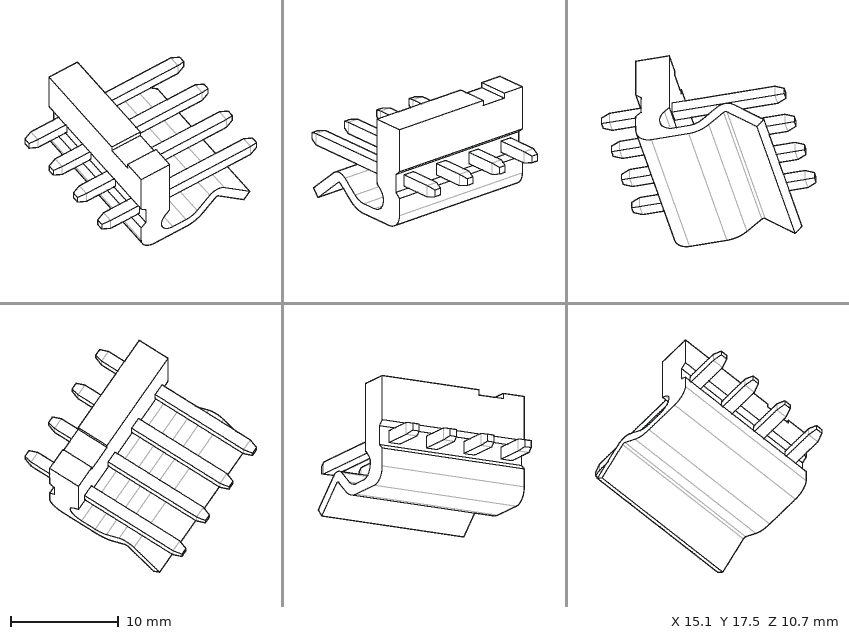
import cadquery as cq
import math

width = 15.08
wall_depth = 3.21
wall_top = 10.2
wall_back_bottom = 3.68
front_corner_radius = 1.5

groove_depth = 0.52
groove_height = 1.81
groove_mouth = 2.72

relief_radius = 1.27
relief_y = 3.56
relief_angle = math.radians(40)

arm_thickness = 1.01
arm_angle = math.radians(41)
floor_end_y = 5.06
floor_bend_radius = 1.9
crown_y = 8.55
crown_radius = 1.25
arm_end_y = 12.23

pin_count = 4
pin_pitch = 3.96
pin_size = 1.15
pin_tip_size = 0.68
pin_tip_length = 0.84
pin_length = 17.45
pin_front_y = -3.58
pin_z = 4.59

notch_start = 10.28
notch_width = 2.57
notch_depth = 0.5


def on_circle(center, radius, angle):
    """Point on a circle, with the angle measured from +Y towards +Z."""
    return (center[0] + radius * math.cos(angle), center[1] + radius * math.sin(angle))


def make_housing():
    up = math.pi / 2
    down = -up
    relief_center = (relief_y, arm_thickness + relief_radius)
    bend_center = (floor_end_y, arm_thickness + floor_bend_radius)
    outer_bend_radius = floor_bend_radius + arm_thickness
    inner_crown_radius = crown_radius - arm_thickness

    bend_end = on_circle(bend_center, floor_bend_radius, down + arm_angle)
    crown_start_y = crown_y - crown_radius * math.sin(arm_angle)
    crown_start_z = bend_end[1] + (crown_start_y - bend_end[0]) * math.tan(arm_angle)
    crown_center = (crown_y, crown_start_z - crown_radius * math.cos(arm_angle))

    crown_end = on_circle(crown_center, crown_radius, up - arm_angle)
    end_top_z = crown_end[1] - (arm_end_y - crown_end[0]) * math.tan(arm_angle)
    end_top = (arm_end_y, end_top_z)
    end_bottom = on_circle(end_top, arm_thickness, down - arm_angle)

    corner_center = (front_corner_radius, front_corner_radius)
    profile = (
        cq.Workplane("YZ")
        .moveTo(0, wall_top)
        .lineTo(wall_depth, wall_top)
        .lineTo(wall_depth, wall_back_bottom)
        .lineTo(*on_circle(relief_center, relief_radius, up + relief_angle))
        .threePointArc(
            on_circle(relief_center, relief_radius, math.pi),
            on_circle(relief_center, relief_radius, down),
        )
        .lineTo(floor_end_y, arm_thickness)
        .threePointArc(on_circle(bend_center, floor_bend_radius, down + arm_angle / 2), bend_end)
        .lineTo(crown_start_y, crown_start_z)
        .threePointArc(on_circle(crown_center, crown_radius, up), crown_end)
        .lineTo(*end_top)
        .lineTo(*end_bottom)
        .lineTo(*on_circle(crown_center, inner_crown_radius, up - arm_angle))
        .threePointArc(
            on_circle(crown_center, inner_crown_radius, up),
            on_circle(crown_center, inner_crown_radius, up + arm_angle),
        )
        .lineTo(*on_circle(bend_center, outer_bend_radius, down + arm_angle))
        .threePointArc(
            on_circle(bend_center, outer_bend_radius, down + arm_angle / 2),
            (floor_end_y, 0),
        )
        .lineTo(front_corner_radius, 0)
        .threePointArc(
            on_circle(corner_center, front_corner_radius, math.radians(225)),
            (0, front_corner_radius),
        )
        .lineTo(0, pin_z - groove_mouth / 2)
        .lineTo(groove_depth, pin_z - groove_height / 2)
        .lineTo(groove_depth, pin_z + groove_height / 2)
        .lineTo(0, pin_z + groove_mouth / 2)
        .close()
    )
    return profile.extrude(width)


def make_notch():
    size = (notch_width, wall_depth, notch_depth)
    corner = (notch_start, 0, wall_top - notch_depth)
    return cq.Workplane("XY").box(*size, centered=False).translate(corner)


def make_pin():
    """Pin along +Y, starting at Y = 0 and centred on the Y axis."""
    shank_length = pin_length - 2 * pin_tip_length
    shank = (
        cq.Workplane("XZ", origin=(0, pin_tip_length, 0))
        .rect(pin_size, pin_size)
        .extrude(-shank_length)
    )
    front_tip = (
        cq.Workplane("XZ", origin=(0, pin_tip_length, 0))
        .rect(pin_size, pin_size)
        .workplane(offset=pin_tip_length)
        .rect(pin_tip_size, pin_tip_size)
        .loft(ruled=True, combine=True)
    )
    back_tip = front_tip.mirror("XZ", (0, pin_length / 2, 0))
    return shank.union(front_tip).union(back_tip)


result = make_housing().cut(make_notch())

pin = make_pin()
first_pin_x = (width - (pin_count - 1) * pin_pitch) / 2
for index in range(pin_count):
    pin_x = first_pin_x + index * pin_pitch
    result = result.union(pin.translate((pin_x, pin_front_y, pin_z)))